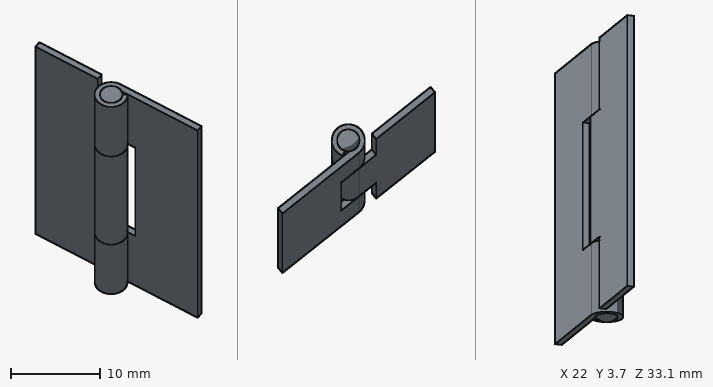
import cadquery as cq
import math

overall_height = 33.1
overall_width = 22.0
leaf_height = 32.0
leaf_thickness = 0.8
knuckle_radius = 1.85
pin_radius = 1.25
middle_knuckle_height = 15.05
notch_reach = 2.5
curl_end_angle = 32.0

half_width = overall_width / 2
leaf_inner_y = knuckle_radius - leaf_thickness
dome_height = (overall_height - leaf_height) / 2
end_knuckle_height = (leaf_height - middle_knuckle_height) / 2
end_knuckle_offset = (middle_knuckle_height + end_knuckle_height) / 2


def polar(radius, degrees):
    """Point at a given radius and direction from the pin axis."""
    angle = math.radians(degrees)
    return (radius * math.cos(angle), radius * math.sin(angle))


def knuckle(center_z, height):
    """Strip on the +X side that runs tangent into a curl around the pin."""
    bore_meet_x = math.sqrt(pin_radius**2 - leaf_inner_y**2)
    mid_angle = (curl_end_angle + 90) / 2 + 180
    return (
        cq.Workplane("XY", origin=(0, 0, center_z - height / 2))
        .moveTo(notch_reach, knuckle_radius)
        .lineTo(0, knuckle_radius)
        .threePointArc(polar(knuckle_radius, mid_angle), polar(knuckle_radius, curl_end_angle))
        .lineTo(*polar(pin_radius, curl_end_angle))
        .threePointArc(polar(pin_radius, mid_angle), (bore_meet_x, leaf_inner_y))
        .lineTo(notch_reach, leaf_inner_y)
        .close()
        .extrude(height)
    )


def leaf_plate():
    """Flat plate on the +X side, clear of the knuckles."""
    return cq.Workplane("XY").box(
        half_width - notch_reach, leaf_thickness, leaf_height, centered=(False, False, True)
    ).translate((notch_reach, leaf_inner_y, 0))


def make_end_knuckle_leaf():
    """Right leaf, with a knuckle at its top and bottom."""
    leaf = leaf_plate()
    for side in (-1, 1):
        leaf = leaf.union(knuckle(side * end_knuckle_offset, end_knuckle_height))
    return leaf


def make_middle_knuckle_leaf():
    """Left leaf, with one knuckle at mid-height."""
    return leaf_plate().union(knuckle(0, middle_knuckle_height)).mirror("YZ")


def make_pin():
    """Pin that fills the knuckles, with a domed head at each end."""
    dome_radius = (pin_radius**2 + dome_height**2) / (2 * dome_height)
    half_angle = math.asin(pin_radius / dome_radius) / 2
    arc_x = dome_radius * math.sin(half_angle)
    arc_z = overall_height / 2 - dome_radius * (1 - math.cos(half_angle))
    return (
        cq.Workplane("XZ")
        .moveTo(0, -overall_height / 2)
        .threePointArc((arc_x, -arc_z), (pin_radius, -leaf_height / 2))
        .lineTo(pin_radius, leaf_height / 2)
        .threePointArc((arc_x, arc_z), (0, overall_height / 2))
        .close()
        .revolve(360, (0, 0, 0), (0, 1, 0))
    )


end_knuckle_leaf = make_end_knuckle_leaf()
middle_knuckle_leaf = make_middle_knuckle_leaf()
pin = make_pin()

result = cq.Compound.makeCompound([end_knuckle_leaf.val(), middle_knuckle_leaf.val(), pin.val()])